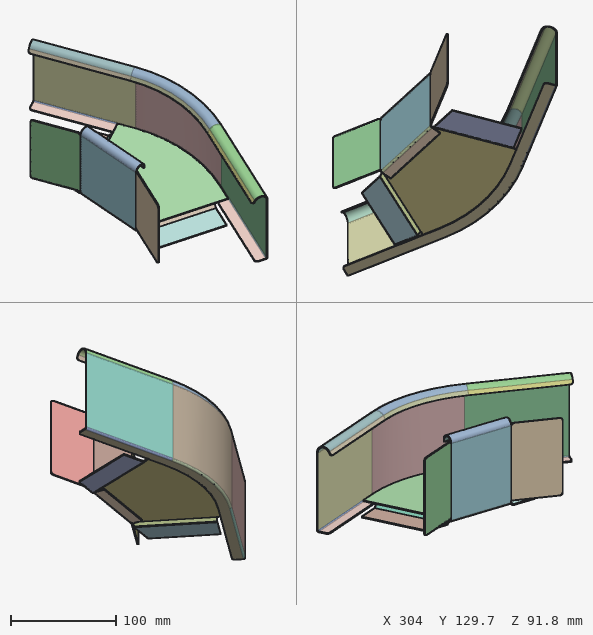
import cadquery as cq
import math

thickness = 1.2
bend_radius = 2.0
flange_bottom = 2.58
flange_width = 12.8
corner_radius = 3.0

turn_angle = 22.5
turn_sin = math.sin(math.radians(turn_angle))
turn_cos = math.cos(math.radians(turn_angle))

half_length = 152.0
outer_apex_y = 110.3
outer_radius = 146.8
outer_roll_radius = 7.3
outer_roll_angle = 150.0
outer_height = 91.8
outer_lip = 5.0

inner_half_width = 36.2
inner_roll_radius = 6.0
inner_roll_angle = 180.0
inner_lip = 2.0
inner_height = 90.0
wing_length = 50.8
wing_bottom = 6.5
wing_top = 86.0

fold_half_width = 35.5
joggle_run = 3.5
tab_reach = 28.0
tab_setback = 16.5

arc_centre_y = outer_apex_y - outer_radius
seam_x = outer_radius * turn_sin
seam_y = arc_centre_y + outer_radius * turn_cos
end_y = seam_y - (half_length - seam_x) * turn_sin / turn_cos

floor_bottom = flange_bottom + thickness


def wall_profile(plane, height, roll_radius, roll_angle, lip):
    """Closed section of a flanged wall: local x runs inward from the outside face, local y runs up."""
    inside_bend = bend_radius - thickness
    roll_centre = height - roll_radius
    end_angle = math.radians(roll_angle)
    lip_x = lip * math.sin(end_angle)
    lip_y = lip * math.cos(end_angle)

    def on_roll(radius, angle):
        return (roll_radius - radius * math.cos(angle), roll_centre + radius * math.sin(angle))

    def on_bend(radius):
        offset = bend_radius - radius * math.sqrt(0.5)
        return (offset, flange_bottom + offset)

    inside_roll = roll_radius - thickness
    outside_end = on_roll(roll_radius, end_angle)
    inside_end = on_roll(inside_roll, end_angle)
    return (
        cq.Workplane(plane)
        .moveTo(flange_width, flange_bottom)
        .lineTo(bend_radius, flange_bottom)
        .threePointArc(on_bend(bend_radius), (0, flange_bottom + bend_radius))
        .lineTo(0, roll_centre)
        .threePointArc(on_roll(roll_radius, end_angle / 2), outside_end)
        .lineTo(outside_end[0] + lip_x, outside_end[1] + lip_y)
        .lineTo(inside_end[0] + lip_x, inside_end[1] + lip_y)
        .lineTo(*inside_end)
        .threePointArc(on_roll(inside_roll, end_angle / 2), (thickness, roll_centre))
        .lineTo(thickness, flange_bottom + bend_radius)
        .threePointArc(on_bend(inside_bend), (bend_radius, flange_bottom + thickness))
        .lineTo(flange_width, flange_bottom + thickness)
        .close()
    )


def make_outer_wall():
    path = (
        cq.Workplane("XY")
        .moveTo(-half_length, end_y)
        .lineTo(-seam_x, seam_y)
        .threePointArc((0, outer_apex_y), (seam_x, seam_y))
        .lineTo(half_length, end_y)
    )
    end_plane = cq.Plane(
        origin=(-half_length, end_y, 0),
        xDir=(turn_sin, -turn_cos, 0),
        normal=(-turn_cos, -turn_sin, 0),
    )
    wall = wall_profile(end_plane, outer_height, outer_roll_radius, outer_roll_angle, outer_lip).sweep(path)

    roll_end = math.radians(outer_roll_angle)
    mid_radius = outer_roll_radius - thickness / 2
    lip_inset = outer_roll_radius - mid_radius * math.cos(roll_end) + outer_lip * math.sin(roll_end)
    lip_height = (
        outer_height - outer_roll_radius + mid_radius * math.sin(roll_end) + outer_lip * math.cos(roll_end)
    )
    flange_corner = (flange_width, flange_bottom + thickness / 2)
    for side in (-1, 1):
        for inset, height in (flange_corner, (lip_inset, lip_height)):
            corner = (side * (half_length - inset * turn_sin), end_y - inset * turn_cos, height)
            wall = wall.edges(cq.selectors.NearestToPointSelector(corner)).fillet(corner_radius)
    return wall


def make_wing():
    """Right-hand wing, bent outward from the end of the inner wall."""
    tip_x = inner_half_width + wing_length * turn_cos
    tip_y = -wing_length * turn_sin
    mitre = thickness * math.tan(math.radians(turn_angle / 2))
    wing = (
        cq.Workplane("XY", origin=(0, 0, wing_bottom))
        .moveTo(inner_half_width, 0)
        .lineTo(tip_x, tip_y)
        .lineTo(tip_x + thickness * turn_sin, tip_y + thickness * turn_cos)
        .lineTo(inner_half_width + mitre, thickness)
        .lineTo(inner_half_width, thickness)
        .close()
        .extrude(wing_top - wing_bottom)
    )
    free_end = wing.faces(">X").edges("not |Z").edges(">Z or <Z")
    wing = free_end.fillet(corner_radius)
    drop = wing_top - (inner_height - inner_roll_radius)
    slope = (
        cq.Workplane("XZ", origin=(0, thickness, 0))
        .moveTo(inner_half_width, wing_top - drop)
        .lineTo(inner_half_width + drop, wing_top)
        .lineTo(inner_half_width, wing_top)
        .close()
        .extrude(2 * thickness)
    )
    return wing.cut(slope)


def make_inner_wall():
    end_plane = cq.Plane(origin=(-inner_half_width, 0, 0), xDir=(0, 1, 0), normal=(1, 0, 0))
    profile = wall_profile(end_plane, inner_height, inner_roll_radius, inner_roll_angle, inner_lip)
    wing = make_wing()
    return profile.extrude(2 * inner_half_width).union(wing).union(wing.mirror("YZ"))


def make_tab():
    """Right-hand joggle and lowered tab, extruded along the fold of the floor."""
    wall_distance = (seam_x - fold_half_width) * turn_sin + (seam_y - bend_radius) * turn_cos
    tab_length = wall_distance - tab_setback
    fold_plane = cq.Plane(
        origin=(fold_half_width, bend_radius, 0),
        xDir=(turn_cos, -turn_sin, 0),
        normal=(-turn_sin, -turn_cos, 0),
    )
    strip = (
        cq.Workplane(fold_plane)
        .moveTo(0, floor_bottom)
        .lineTo(joggle_run, 0)
        .lineTo(tab_reach, 0)
        .lineTo(tab_reach, thickness)
        .lineTo(joggle_run, thickness)
        .lineTo(0, floor_bottom + thickness)
        .close()
        .extrude(tab_length, both=True)
    )
    near_side = cq.Workplane("XY").box(
        2 * half_length, half_length, outer_height, centered=(True, False, False)
    ).translate((0, bend_radius, 0))
    return strip.intersect(near_side)


def make_floor():
    edge_radius = outer_radius - bend_radius
    edge_seam_x = edge_radius * turn_sin
    edge_seam_y = arc_centre_y + edge_radius * turn_cos
    run = (fold_half_width - edge_seam_x) * turn_cos - (bend_radius - edge_seam_y) * turn_sin
    fold_x = edge_seam_x + run * turn_cos
    fold_y = edge_seam_y - run * turn_sin
    plate = (
        cq.Workplane("XY", origin=(0, 0, floor_bottom))
        .moveTo(-fold_half_width, bend_radius)
        .lineTo(fold_half_width, bend_radius)
        .lineTo(fold_x, fold_y)
        .lineTo(edge_seam_x, edge_seam_y)
        .threePointArc((0, outer_apex_y - bend_radius), (-edge_seam_x, edge_seam_y))
        .lineTo(-fold_x, fold_y)
        .close()
        .extrude(thickness)
    )
    tab = make_tab()
    return plate.union(tab).union(tab.mirror("YZ"))


outer_wall = make_outer_wall()
inner_wall = make_inner_wall()
floor = make_floor()

result = cq.Compound.makeCompound([outer_wall.val(), inner_wall.val(), floor.val()])